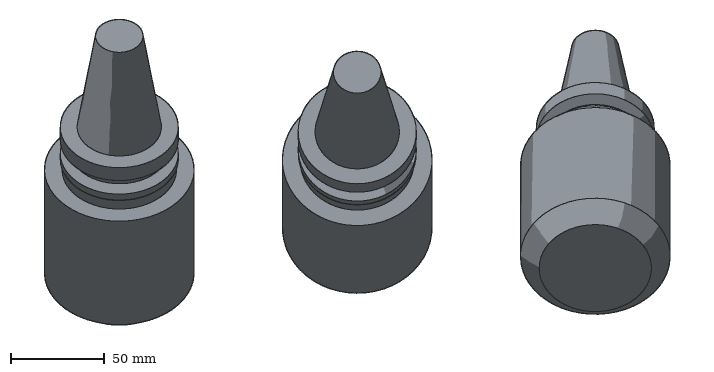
import cadquery as cq
import math

total_height = 185.4
body_top = 86.5
flange_bottom = 92.9
flange_top = 118.1

body_radius = 80.0 / 2
nose_chamfer = 10.0

neck_radius = 61.2 / 2
flange_radius = 63.0 / 2
flange_chamfer_height = 1.3

groove_radius = 53.0 / 2
groove_floor_bottom = 101.5
groove_floor_top = 105.7
groove_flank_angle = math.radians(30)
flank_height = (flange_radius - groove_radius) * math.tan(groove_flank_angle)

taper_ratio = 7 / 24
taper_top_radius = 25.4 / 2
taper_base_radius = taper_top_radius + (total_height - flange_top) * taper_ratio / 2

profile = [
    (0, 0),
    (body_radius - nose_chamfer, 0),
    (body_radius, nose_chamfer),
    (body_radius, body_top),
    (neck_radius, body_top),
    (neck_radius, flange_bottom),
    (flange_radius, flange_bottom + flange_chamfer_height),
    (flange_radius, groove_floor_bottom - flank_height),
    (groove_radius, groove_floor_bottom),
    (groove_radius, groove_floor_top),
    (flange_radius, groove_floor_top + flank_height),
    (flange_radius, flange_top),
    (taper_base_radius, flange_top),
    (taper_top_radius, total_height),
    (0, total_height),
]

result = cq.Workplane("XZ").polyline(profile).close().revolve(360, (0, 0, 0), (0, 1, 0))